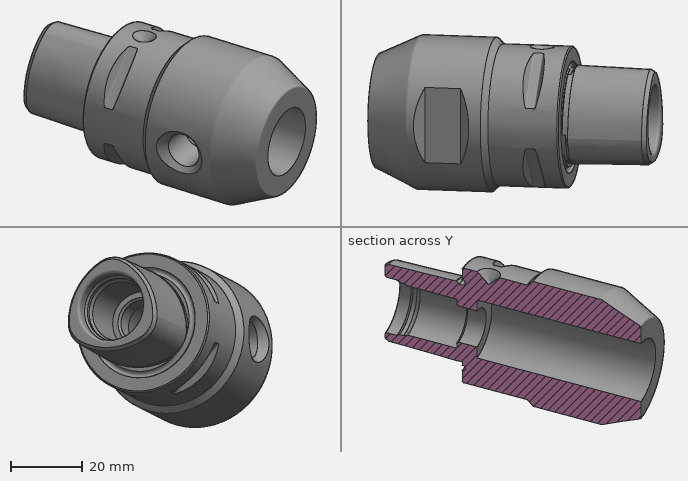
import cadquery as cq
import math


SHANK_LENGTH = 23.85
LOBE_OFFSET = 6.95
LOBE_RADIUS_BIG = 7.9
LOBE_RADIUS_SMALL = 7.4
END_CHAMFER_LENGTH = 1.3
END_CHAMFER_DEPTH = 0.8
LOBE_DIRECTIONS = (90, 210, 330)
HALF_ARC = 30
NECK_LENGTH = 1.6
NECK_INSET = 0.12

RELIEF_INNER_RADIUS = 14.0
RELIEF_OUTER_RADIUS = 15.8
LOBE_TRIM_DISTANCE = 0.9

TOTAL_LENGTH = 79.0
HEAD_END = TOTAL_LENGTH - SHANK_LENGTH
FLANGE_RADIUS = 40.0 / 2
FLANGE_CHAMFER = 0.4
FLANGE_LENGTH = 20.1
HEAD_RADIUS = 43.5 / 2
HEAD_START = FLANGE_LENGTH + 1.8
NOSE_START = 43.05
NOSE_RADIUS = 16.1
NOSE_EDGE_FILLET = 0.6
HEAD_EDGE_FILLET = 1.0

MOUTH_RADIUS = 10.4
MOUTH_ROUND = 0.9
SOCKET_RADIUS = MOUTH_RADIUS - MOUTH_ROUND
SOCKET_DEPTH = 3.8
STEP_RADIUS = 18.0 / 2
STEP_START_DEPTH = 4.6
STEP_DEPTH = 5.85
THREAD_RADIUS = 8.45
THREAD_START_DEPTH = 7.1
CAVITY_DEPTH = 22.1
THROUGH_RADIUS = 12.4 / 2
THROUGH_CHAMFER = 0.6
TOOL_BORE_RADIUS = 20.0 / 2
TOOL_BORE_DEPTH = 50.55

SCREW_X = 33.1
SCREW_RADIUS = 10.1 / 2
COUNTERSINK_DEPTH = 2.45
GROOVE_DEPTH = 2.85

GRIP_X = 8.1
SLOT_FLOOR_RADIUS = 17.6
SLOT_FLOOR_WIDTH = 2.8
SLOT_WALL_ANGLE = 30
SLOT_FILLET = 0.55
SLOT_DIRECTIONS = (45, 135, 225, 315)
DIMPLE_RADIUS = 3.4
DIMPLE_DEPTH = DIMPLE_RADIUS

CUT_MARGIN = 0.8


def shank_section(work, lobe_radius):
    """Closed six-arc outline with one lobe pointing to +Z."""
    flank_radius = lobe_radius + LOBE_OFFSET * math.sqrt(3)

    def arc_point(radius, center_angle, direction):
        center = math.radians(center_angle)
        along = math.radians(direction)
        return (LOBE_OFFSET * math.cos(center) + radius * math.cos(along),
                LOBE_OFFSET * math.sin(center) + radius * math.sin(along))

    work = work.moveTo(*arc_point(lobe_radius, LOBE_DIRECTIONS[0], LOBE_DIRECTIONS[0] - HALF_ARC))
    for lobe in LOBE_DIRECTIONS:
        flank = lobe + 2 * HALF_ARC
        opposite_lobe = flank + 180
        work = work.threePointArc(arc_point(lobe_radius, lobe, lobe),
                                  arc_point(lobe_radius, lobe, lobe + HALF_ARC))
        work = work.threePointArc(arc_point(flank_radius, opposite_lobe, flank),
                                  arc_point(flank_radius, opposite_lobe, flank + HALF_ARC))
    return work.close()


def shank_stretch(start_x, end_x, start_radius, end_radius):
    """Solid between two shank outlines given by their lobe radii."""
    start = shank_section(cq.Workplane("YZ").workplane(offset=start_x), start_radius)
    end = shank_section(start.workplane(offset=end_x - start_x), end_radius)
    return end.loft(ruled=True, combine=True)


def shank():
    chamfer_end = -SHANK_LENGTH + END_CHAMFER_LENGTH
    neck_radius = LOBE_RADIUS_BIG - NECK_INSET
    tip = shank_stretch(-SHANK_LENGTH, chamfer_end,
                        LOBE_RADIUS_SMALL - END_CHAMFER_DEPTH, LOBE_RADIUS_SMALL)
    taper = shank_stretch(chamfer_end, -NECK_LENGTH, LOBE_RADIUS_SMALL, LOBE_RADIUS_BIG)
    neck = shank_stretch(-NECK_LENGTH, CUT_MARGIN, neck_radius, neck_radius)
    return tip.union(taper).union(neck)


def flange_and_head():
    outline = (
        cq.Workplane("XY")
        .moveTo(0, 0)
        .lineTo(0, FLANGE_RADIUS - FLANGE_CHAMFER)
        .lineTo(FLANGE_CHAMFER, FLANGE_RADIUS)
        .lineTo(FLANGE_LENGTH, FLANGE_RADIUS)
        .lineTo(HEAD_START, HEAD_RADIUS)
        .lineTo(NOSE_START, HEAD_RADIUS)
        .lineTo(HEAD_END, NOSE_RADIUS)
        .lineTo(HEAD_END, 0)
        .close()
    )
    body = outline.revolve(360, (0, 0, 0), (1, 0, 0))
    body = body.faces(">X").edges().fillet(NOSE_EDGE_FILLET)
    near_head_edge = cq.selectors.BoxSelector(
        (NOSE_START - CUT_MARGIN, -HEAD_RADIUS, -HEAD_RADIUS),
        (NOSE_START + CUT_MARGIN, HEAD_RADIUS, HEAD_RADIUS), boundingbox=False)
    return body.edges("%CIRCLE").edges(near_head_edge).fillet(HEAD_EDGE_FILLET)


def relief():
    """Ring that trims the lobes at 45 degrees and hollows the flange face."""
    groove_radius = (RELIEF_OUTER_RADIUS - RELIEF_INNER_RADIUS) / 2
    groove_center = RELIEF_INNER_RADIUS + groove_radius
    cone_start = -LOBE_TRIM_DISTANCE - (RELIEF_OUTER_RADIUS - RELIEF_INNER_RADIUS)
    return (
        cq.Workplane("XY")
        .moveTo(cone_start, RELIEF_OUTER_RADIUS)
        .lineTo(-LOBE_TRIM_DISTANCE, RELIEF_INNER_RADIUS)
        .lineTo(0, RELIEF_INNER_RADIUS)
        .threePointArc((groove_radius, groove_center), (0, RELIEF_OUTER_RADIUS))
        .close()
        .revolve(360, (0, 0, 0), (1, 0, 0))
    )


def axial_bores():
    start = -SHANK_LENGTH
    floor = start + CAVITY_DEPTH
    bore_bottom = HEAD_END - TOOL_BORE_DEPTH
    round_sag = MOUTH_ROUND * (1 - math.sqrt(0.5))
    return (
        cq.Workplane("XY")
        .moveTo(start, 0)
        .lineTo(start, MOUTH_RADIUS)
        .threePointArc((start + round_sag, SOCKET_RADIUS + round_sag), (start + MOUTH_ROUND, SOCKET_RADIUS))
        .lineTo(start + SOCKET_DEPTH, SOCKET_RADIUS)
        .lineTo(start + STEP_START_DEPTH, STEP_RADIUS)
        .lineTo(start + STEP_DEPTH, STEP_RADIUS)
        .lineTo(start + THREAD_START_DEPTH, THREAD_RADIUS)
        .lineTo(floor, THREAD_RADIUS)
        .lineTo(floor, THROUGH_RADIUS + THROUGH_CHAMFER)
        .lineTo(floor + THROUGH_CHAMFER, THROUGH_RADIUS)
        .lineTo(bore_bottom, THROUGH_RADIUS)
        .lineTo(bore_bottom, TOOL_BORE_RADIUS)
        .lineTo(HEAD_END, TOOL_BORE_RADIUS)
        .lineTo(HEAD_END, 0)
        .close()
        .revolve(360, (0, 0, 0), (1, 0, 0))
    )


def screw_hole():
    top_radius = SCREW_RADIUS + COUNTERSINK_DEPTH
    return (
        cq.Workplane("XY")
        .moveTo(SCREW_X, 0)
        .lineTo(SCREW_X + SCREW_RADIUS, 0)
        .lineTo(SCREW_X + SCREW_RADIUS, COUNTERSINK_DEPTH - HEAD_RADIUS)
        .lineTo(SCREW_X + top_radius, -HEAD_RADIUS)
        .lineTo(SCREW_X, -HEAD_RADIUS)
        .close()
        .revolve(360, (SCREW_X, 0, 0), (SCREW_X, 1, 0))
    )


def balancing_groove():
    """Straight groove along Z opposite the screw, its floor as wide as the screw hole."""
    top_half = SCREW_RADIUS + GROOVE_DEPTH
    floor_y = HEAD_RADIUS - GROOVE_DEPTH
    return (
        cq.Workplane("XY")
        .moveTo(SCREW_X - SCREW_RADIUS, floor_y)
        .lineTo(SCREW_X + SCREW_RADIUS, floor_y)
        .lineTo(SCREW_X + top_half, HEAD_RADIUS)
        .lineTo(SCREW_X - top_half, HEAD_RADIUS)
        .close()
        .extrude(HEAD_RADIUS, both=True)
    )


def gripper_slot(angle):
    """Straight trapezoidal slot whose floor faces the given angle from +Y toward +Z."""
    top_radius = FLANGE_RADIUS + CUT_MARGIN
    spread = (top_radius - SLOT_FLOOR_RADIUS) * math.tan(math.radians(SLOT_WALL_ANGLE))
    half_floor = SLOT_FLOOR_WIDTH / 2
    slot = (
        cq.Workplane("XY")
        .moveTo(GRIP_X - half_floor, SLOT_FLOOR_RADIUS)
        .lineTo(GRIP_X + half_floor, SLOT_FLOOR_RADIUS)
        .lineTo(GRIP_X + half_floor + spread, top_radius)
        .lineTo(GRIP_X - half_floor - spread, top_radius)
        .close()
        .extrude(FLANGE_RADIUS, both=True)
    )
    slot = slot.faces("<Y").edges("|Z").fillet(SLOT_FILLET)
    return slot.rotate((0, 0, 0), (1, 0, 0), angle)


def orientation_dimple():
    return (
        cq.Workplane("XZ")
        .moveTo(GRIP_X, FLANGE_RADIUS - DIMPLE_DEPTH)
        .lineTo(GRIP_X + DIMPLE_RADIUS, FLANGE_RADIUS)
        .lineTo(GRIP_X, FLANGE_RADIUS)
        .close()
        .revolve(360, (GRIP_X, 0, 0), (GRIP_X, 1, 0))
    )


result = shank().union(flange_and_head())
result = result.cut(relief()).cut(axial_bores())
result = result.cut(screw_hole()).cut(balancing_groove())
for slot_angle in SLOT_DIRECTIONS:
    result = result.cut(gripper_slot(slot_angle))
result = result.cut(orientation_dimple())